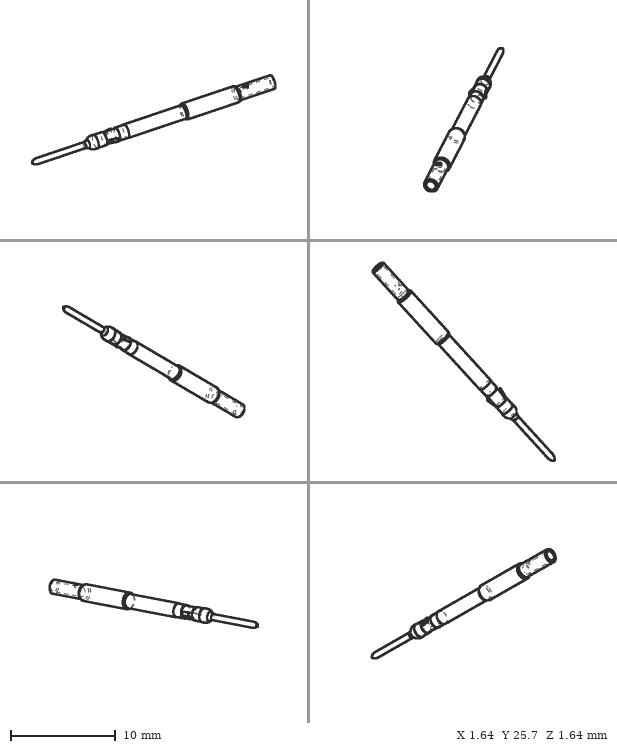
import cadquery as cq

length = 25.68

pin_radius = 0.3
tip_length = 0.62
tip_flat_radius = 0.13
tip_bulge = 0.05

nose_start = 5.57
nose_cone_end = 5.95
nose_end = 6.52
nose_cone_radius = 0.44
nose_bulge = 0.08

body_radius = 0.7
sleeve_radius = 0.67
band_end = 6.75
groove_start = 7.68
groove_end = 9.07
groove_radius = 0.62
sleeve_end = 10.02

shoulder_radius = 0.82
shoulder_start = 16.13
shoulder_end = 21.95
shoulder_chamfer_length = 0.18
shoulder_chamfer_height = 0.08

bore_radius = 0.45
bore_depth = 3.47
inspection_hole_radius = 0.25
inspection_hole_y = 22.8

tine_width = 0.39
tine_free_end = 8.8
tine_flat_start = 8.65
tine_thickness = 0.1
tine_root_inner_radius = 0.51
tine_root_outer_radius = 0.62


def turned_body():
    """Revolve the half section (radius, position along the axis)."""
    tip_middle = ((pin_radius + tip_flat_radius) / 2 + tip_bulge, tip_length / 2)
    nose_middle = (
        (nose_cone_radius + body_radius) / 2 + nose_bulge,
        (nose_cone_end + nose_end) / 2,
    )
    chamfer_radius = shoulder_radius - shoulder_chamfer_height
    return (
        cq.Workplane("XY")
        .lineTo(tip_flat_radius, 0)
        .threePointArc(tip_middle, (pin_radius, tip_length))
        .lineTo(pin_radius, nose_start)
        .lineTo(nose_cone_radius, nose_cone_end)
        .threePointArc(nose_middle, (body_radius, nose_end))
        .lineTo(body_radius, band_end)
        .lineTo(sleeve_radius, band_end)
        .lineTo(sleeve_radius, groove_start)
        .lineTo(groove_radius, groove_start)
        .lineTo(groove_radius, groove_end)
        .lineTo(sleeve_radius, groove_end)
        .lineTo(sleeve_radius, sleeve_end)
        .lineTo(body_radius, sleeve_end)
        .lineTo(body_radius, shoulder_start)
        .lineTo(chamfer_radius, shoulder_start)
        .lineTo(shoulder_radius, shoulder_start + shoulder_chamfer_length)
        .lineTo(shoulder_radius, shoulder_end - shoulder_chamfer_length)
        .lineTo(chamfer_radius, shoulder_end)
        .lineTo(body_radius, shoulder_end)
        .lineTo(body_radius, length)
        .lineTo(0, length)
        .close()
        .revolve(360, (0, 0, 0), (0, 1, 0))
    )


def latch_tine(side):
    """Spring tine rising rearward from the groove; side is +1 or -1 along X."""
    profile = [
        (side * tine_root_inner_radius, groove_start),
        (side * tine_root_outer_radius, groove_start),
        (side * shoulder_radius, tine_flat_start),
        (side * shoulder_radius, tine_free_end),
        (side * (shoulder_radius - tine_thickness), tine_free_end),
    ]
    return cq.Workplane("XY").polyline(profile).close().extrude(tine_width / 2, both=True)


def crimp_bore():
    """Blind wire bore entering from the rear end."""
    return cq.Workplane("XZ", origin=(0, length, 0)).circle(bore_radius).extrude(bore_depth)


def inspection_hole():
    """Hole through the upper wall into the bore."""
    return (
        cq.Workplane("XY", origin=(0, inspection_hole_y, 0))
        .circle(inspection_hole_radius)
        .extrude(shoulder_radius)
    )


result = turned_body()
for tine_side in (-1, 1):
    result = result.union(latch_tine(tine_side))
result = result.cut(crimp_bore()).cut(inspection_hole())